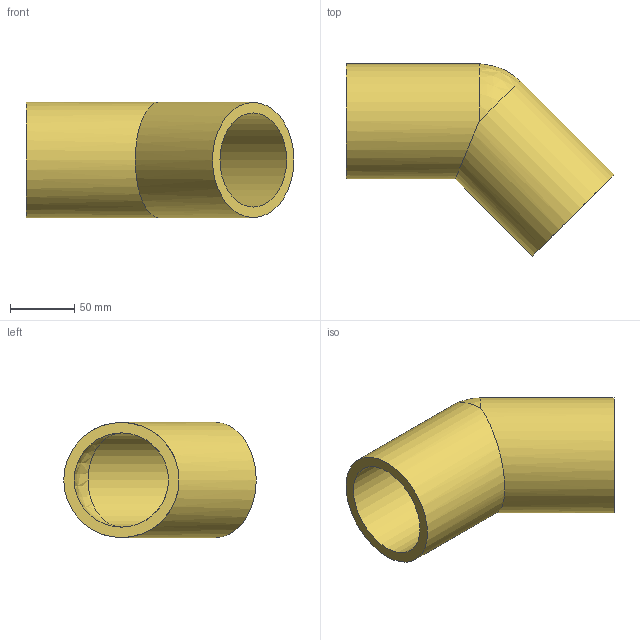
import cadquery as cq
import math

outer_diameter = 90.0
wall_thickness = 8.2
leg_length = 104.0
bend_angle = 45.0

outer_radius = outer_diameter / 2
inner_radius = outer_radius - wall_thickness

bend_radians = math.radians(bend_angle)
inlet_direction = cq.Vector(-1, 0, 0)
outlet_direction = cq.Vector(math.cos(bend_radians), -math.sin(bend_radians), 0)
bend_point = cq.Vector(0, 0, 0)


def leg(radius, direction):
    """Solid round bar from the bend point out to an open end."""
    return cq.Workplane(cq.Solid.makeCylinder(radius, leg_length, bend_point, direction))


def elbow_bar(radius):
    """Two round bars joined at the bend, with a ball filling the outer corner."""
    ball = cq.Workplane("XY").sphere(radius)
    return leg(radius, inlet_direction).union(leg(radius, outlet_direction)).union(ball)


outside = elbow_bar(outer_radius)
bore = elbow_bar(inner_radius)

result = outside.cut(bore)